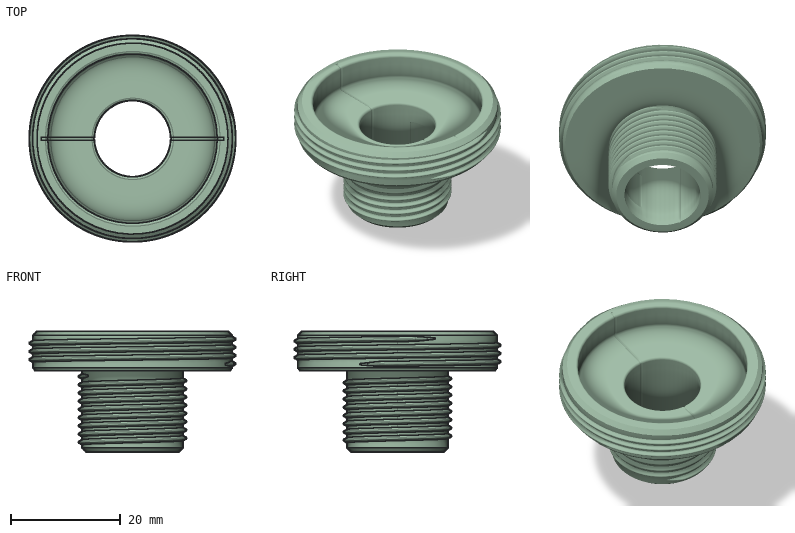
import cadquery as cq
import math

total_height = 22.1
flange_height = 7.3
flange_radius = 36.5 / 2
flange_thread_radius = 37.73 / 2
stem_radius = 18.5 / 2
large_chamfer = 0.8
flange_bottom_chamfer_width = 0.45
flange_bottom_chamfer_height = 0.6

bore_radius = 6.95
recess_radius = 15.47
recess_depth = 4.85
edge_radius = 0.5
recess_floor = total_height - recess_depth
flange_bottom = total_height - flange_height

stem_thread_turns = 8
stem_thread_rise = 12.0
thread_pitch = stem_thread_rise / stem_thread_turns
thread_height = flange_thread_radius - flange_radius
crest_rounding = 0.2
flank_angle = math.radians(30)
root_embed = 0.23
fade_end_height = 0.05

flange_thread_turns = 3
flange_thread_start_z = 16.15
flange_thread_middle_angle = 0
flange_thread_overlap = 10
flange_thread_fade = 12

stem_thread_start_z = 1.8
stem_thread_middle_angle = 180
stem_thread_overlap = 11
stem_thread_fade = 18

groove_width = 0.55
groove_depth = 0.1
groove_outer_reach = 16.68

pocket_width = 6.8
pocket_depth = 0.1
pocket_end_margin = 3.77
pocket_corner_radius = 0.38


def make_body():
    """Turned body: flange and stem with chamfered rims."""
    return (
        cq.Workplane("XZ")
        .moveTo(0, 0)
        .lineTo(stem_radius - large_chamfer, 0)
        .lineTo(stem_radius, large_chamfer)
        .lineTo(stem_radius, flange_bottom)
        .lineTo(flange_radius - flange_bottom_chamfer_width, flange_bottom)
        .lineTo(flange_radius, flange_bottom + flange_bottom_chamfer_height)
        .lineTo(flange_radius, total_height - large_chamfer)
        .lineTo(flange_radius - large_chamfer, total_height)
        .lineTo(0, total_height)
        .close()
        .revolve(360, (0, 0), (0, 1))
    )


def trace_inner_wall(sketch):
    """Add the half section from the rim down through the recess and the bore."""
    return (
        sketch.lineTo(recess_radius + edge_radius, total_height)
        .radiusArc((recess_radius, total_height - edge_radius), -edge_radius)
        .lineTo(recess_radius, recess_floor + edge_radius)
        .radiusArc((recess_radius - edge_radius, recess_floor), edge_radius)
        .lineTo(bore_radius + edge_radius, recess_floor)
        .radiusArc((bore_radius, recess_floor - edge_radius), -edge_radius)
        .lineTo(bore_radius, 0)
    )


def make_cavity():
    """Recess and through bore as one revolved volume."""
    half_section = trace_inner_wall(cq.Workplane("XZ").moveTo(0, total_height))
    return half_section.lineTo(0, 0).close().revolve(360, (0, 0), (0, 1))


def make_groove():
    """Groove on the +X side, a thin lens swept along the inner wall."""
    path = trace_inner_wall(cq.Workplane("XZ").moveTo(groove_outer_reach, total_height))
    return (
        cq.Workplane("YZ", origin=(groove_outer_reach, 0, total_height))
        .moveTo(-groove_width / 2, 0)
        .threePointArc((0, groove_depth), (groove_width / 2, 0))
        .threePointArc((0, -groove_depth), (-groove_width / 2, 0))
        .close()
        .sweep(path)
    )


def make_label_pocket():
    """Rounded rectangle sunk to an even depth into the +Y side of the bore."""
    pocket_height = recess_floor - 2 * pocket_end_margin
    outline = (
        cq.Workplane("XZ", origin=(0, 0, recess_floor / 2))
        .rect(pocket_width, pocket_height)
        .extrude(-stem_radius)
        .edges("|Y")
        .fillet(pocket_corner_radius)
    )
    reach = cq.Workplane("XY").circle(bore_radius + pocket_depth).extrude(total_height)
    return outline.intersect(reach)


def thread_profile(surface_radius, turned_angle, z):
    """Ridge cross-section in the half plane at the given angle about Z."""
    apex = surface_radius + thread_height + crest_rounding
    root_radius = surface_radius - root_embed
    half_root = (apex - root_radius) * math.tan(flank_angle)
    half_crest = crest_rounding * math.cos(flank_angle)
    crest_start = apex - half_crest / math.tan(flank_angle)
    return (
        cq.Workplane("XZ", origin=(0, 0, z))
        .transformed(rotate=(0, turned_angle, 0))
        .moveTo(root_radius, -half_root)
        .lineTo(crest_start, -half_crest)
        .threePointArc((surface_radius + thread_height, 0), (crest_start, half_crest))
        .lineTo(root_radius, half_root)
        .close()
    )


def make_thread(surface_radius, turns, start_z, middle_angle, overlap, fade):
    """Right-handed ridge that sinks almost to the surface at both ends."""
    sink = thread_height - fade_end_height

    def height_at(angle):
        return start_z + thread_pitch * angle / 360

    def sweep_ridge(first_angle, path):
        profile = thread_profile(surface_radius, middle_angle + first_angle, height_at(first_angle))
        return profile.sweep(path, isFrenet=True)

    def path_point(angle, depth):
        turned = math.radians(middle_angle + angle)
        radius = surface_radius - depth
        return radius * math.cos(turned), radius * math.sin(turned), height_at(angle)

    def fade_path(first_angle, last_angle):
        halfway = path_point((first_angle + last_angle) / 2, sink / 2)
        arc = cq.Edge.makeThreePointArc(path_point(first_angle, 0), halfway, path_point(last_angle, sink))
        return cq.Workplane(arc)

    full_start = -overlap
    full_end = 360 * turns + overlap
    full_height = height_at(full_end) - height_at(full_start)
    helix = (
        cq.Wire.makeHelix(thread_pitch, full_height, surface_radius)
        .rotate(cq.Vector(0, 0, 0), cq.Vector(0, 0, 1), middle_angle + full_start)
        .translate(cq.Vector(0, 0, height_at(full_start)))
    )
    return [
        sweep_ridge(full_start, cq.Workplane(helix)),
        sweep_ridge(full_start, fade_path(full_start, full_start - fade)),
        sweep_ridge(full_end, fade_path(full_end, full_end + fade)),
    ]


flange_thread = make_thread(
    flange_radius,
    flange_thread_turns,
    flange_thread_start_z,
    flange_thread_middle_angle,
    flange_thread_overlap,
    flange_thread_fade,
)
stem_thread = make_thread(
    stem_radius,
    stem_thread_turns,
    stem_thread_start_z,
    stem_thread_middle_angle,
    stem_thread_overlap,
    stem_thread_fade,
)

result = make_body().cut(make_cavity()).cut(make_label_pocket())
for side_angle in (0, 180):
    result = result.cut(make_groove().rotate((0, 0, 0), (0, 0, 1), side_angle))
for ridge in flange_thread + stem_thread:
    result = result.union(ridge, clean=False)
result = cq.Workplane(result.solids().val())